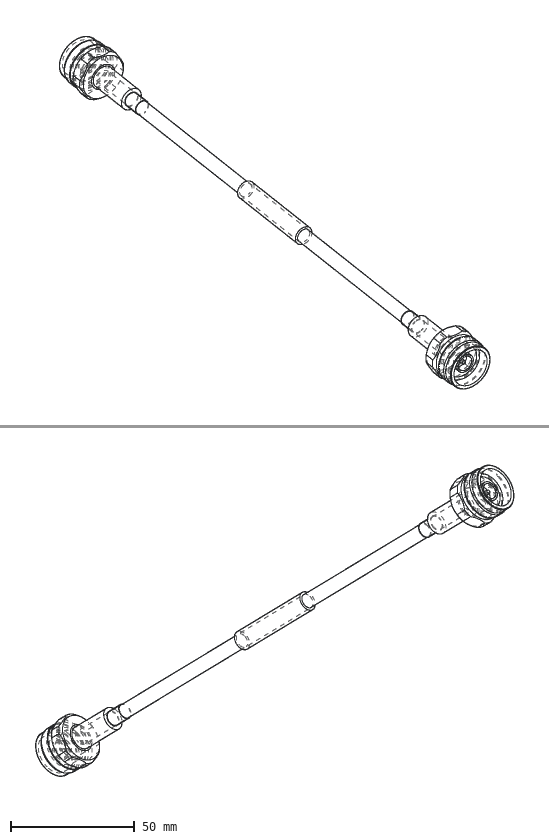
import cadquery as cq

TOTAL_LENGTH = 274.0
HALF_LENGTH = TOTAL_LENGTH / 2

NUT_LENGTH = 17.0
BARREL_RADIUS = 10.0
RIM_CHAMFER = 0.3
BORE_RADIUS = 8.2
BORE_DEPTH = 5.2
SEAT_RADIUS = 7.0
SEAT_START = 5.8

HEX_START = 10.1
HEX_ACROSS_FLATS = 20.5
HEX_CORNER_RADIUS = 11.0
HEX_CONE_LENGTH = 1.0
HEX_TURN_ANGLE = 30

RING_START = 3.5
RING_END = 8.0
RING_RADIUS = HEX_ACROSS_FLATS / 2
RING_SLOPE = 0.8

FLANGE_END = 11.0
COLLAR_RADIUS = 5.8
CONTACT_START = 3.8
CONTACT_OUTER_RADIUS = 4.0
CONTACT_INNER_RADIUS = 3.3
SOCKET_FLOOR = 7.5
PIN_RADIUS = 0.8
PIN_START = 4.7

CABLE_RADIUS = 3.0
FERRULE_END = 36.7
FERRULE_RADIUS = 5.0
SLEEVE_END = 44.0
SLEEVE_RADIUS = 3.3
LABEL_RADIUS = 4.0
LABEL_LENGTH = 40.5


def rod(start, end, radius):
    """Solid cylinder on the X axis between two X positions."""
    return cq.Workplane("YZ", origin=(start, 0, 0)).circle(radius).extrude(end - start)


def tube(start, end, outer_radius, inner_radius):
    """Hollow cylinder on the X axis between two X positions."""
    return rod(start, end, outer_radius).cut(rod(start, end, inner_radius))


def turned(profile):
    """Solid of revolution about X from (x, radius) points that begin and end on the axis."""
    return cq.Workplane("XY").polyline(profile).close().revolve(360, (0, 0, 0), (1, 0, 0))


def make_ring():
    """Raised ring with a sloped front edge."""
    return turned([
        (RING_START, 0),
        (RING_START, BARREL_RADIUS),
        (RING_START + RING_SLOPE, RING_RADIUS),
        (RING_END, RING_RADIUS),
        (RING_END, 0),
    ])


def make_hex():
    """Hexagon with flats facing +Z and -Z, its corners turned round and its ends coned."""
    hexagon = (
        cq.Workplane("YZ", origin=(HEX_START, 0, 0))
        .polygon(6, HEX_ACROSS_FLATS, circumscribed=True)
        .extrude(NUT_LENGTH - HEX_START)
        .rotate((0, 0, 0), (1, 0, 0), HEX_TURN_ANGLE)
    )
    blank = turned([
        (HEX_START, 0),
        (HEX_START, BARREL_RADIUS),
        (HEX_START + HEX_CONE_LENGTH, HEX_CORNER_RADIUS),
        (NUT_LENGTH - HEX_CONE_LENGTH, HEX_CORNER_RADIUS),
        (NUT_LENGTH, BARREL_RADIUS),
        (NUT_LENGTH, 0),
    ])
    return hexagon.intersect(blank)


def make_nut():
    """Coupling nut: barrel, ring and hexagon, with a bore that narrows to the body's seat."""
    barrel = rod(0, NUT_LENGTH, BARREL_RADIUS).faces("<X").chamfer(RIM_CHAMFER)
    bore = turned([
        (0, 0),
        (0, BORE_RADIUS),
        (BORE_DEPTH, BORE_RADIUS),
        (SEAT_START, SEAT_RADIUS),
        (FLANGE_END, SEAT_RADIUS),
        (FLANGE_END, 0),
    ])
    collar_hole = rod(FLANGE_END, NUT_LENGTH, COLLAR_RADIUS)
    return barrel.union(make_ring()).union(make_hex()).cut(bore).cut(collar_hole)


def make_body():
    """Connector body: collar, flange and raised contact, with a pin in its socket."""
    collar = rod(FLANGE_END, NUT_LENGTH, COLLAR_RADIUS)
    flange = rod(SEAT_START, FLANGE_END, SEAT_RADIUS)
    contact = rod(CONTACT_START, SEAT_START, CONTACT_OUTER_RADIUS)
    socket = rod(CONTACT_START, SOCKET_FLOOR, CONTACT_INNER_RADIUS)
    pin = rod(PIN_START, SOCKET_FLOOR, PIN_RADIUS)
    return collar.union(flange).union(contact).cut(socket).union(pin)


def make_ferrule():
    """Crimp ferrule behind the nut."""
    return tube(NUT_LENGTH, FERRULE_END, FERRULE_RADIUS, CABLE_RADIUS)


def make_sleeve():
    """Thin sleeve behind the ferrule."""
    return tube(FERRULE_END, SLEEVE_END, SLEEVE_RADIUS, CABLE_RADIUS)


def make_cable():
    """Straight cable between the two connector bodies."""
    half_cable = HALF_LENGTH - NUT_LENGTH
    return rod(-half_cable, half_cable, CABLE_RADIUS)


def make_label():
    """Label tube around the middle of the cable."""
    return tube(-LABEL_LENGTH / 2, LABEL_LENGTH / 2, LABEL_RADIUS, CABLE_RADIUS)


bodies = [make_cable().val(), make_label().val()]
for make_part in (make_nut, make_body, make_ferrule, make_sleeve):
    left_part = make_part().translate((-HALF_LENGTH, 0, 0))
    right_part = left_part.mirror("YZ")
    bodies += [left_part.val(), right_part.val()]

result = cq.Compound.makeCompound(bodies)